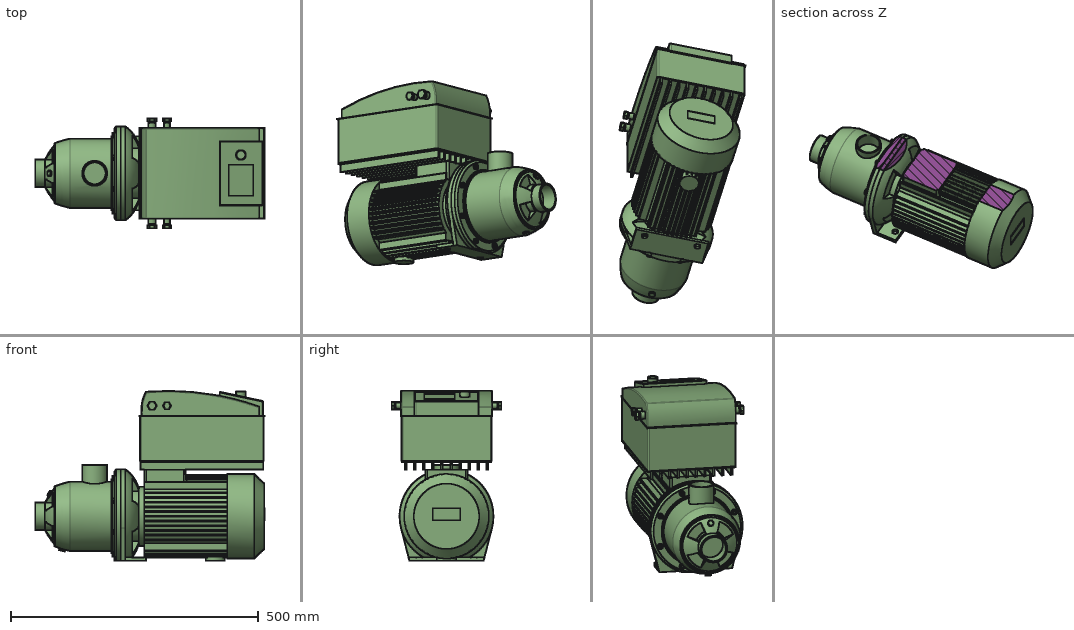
import cadquery as cq
import math


INLET_END_X = 20.0
DOME_RIM_X = 38.5
SHOULDER_X = 70.0
RIM_X = 154.0
RIM_THICKNESS = 2.0
FLANGE_X = 160.0
FOOT_X = 172.6
LANTERN_X = 182.0
SPIGOT_X = 209.7
FRAME_X = 220.0
COVER_X = 388.0
COVER_CHAMFER_X = 442.5
COVER_END_X = 463.0
MOTOR_END_X = 464.0

FLANGE_RADIUS = 95.0
BASE_Z = -90.0
FOOT_THICKNESS = 7.0
SPIGOT_RADIUS = 60.0
SECTOR_START = 22.5
SECTOR_ANGLE = 45.0
QUADRANT_ANGLES = [0, 90, 180, 270]

INLET_RADIUS = 28.0
INLET_BORE_RADIUS = 25.0
INLET_BORE_DEPTH = 30.0
DOME_RIM_RADIUS = 56.0
DOME_BULGE = (30.5, 45.5)
LIP_RADIUS = 61.2
LIP_CHAMFER = 1.8
SHOULDER_BULGE = (55.0, 66.3)
BARREL_RADIUS = 70.2
RIM_RADIUS = 74.5
NECK_RADIUS = 72.0
FLANGE_CHAMFER_X = 4.0
FLANGE_CHAMFER_R = 5.0
POCKET_FLOOR_X = 35.3
POCKET_INNER_RADIUS = 30.0
POCKET_OUTER_RADIUS = 51.0
OUTLET_X = 120.3
OUTLET_RADIUS = 25.3
OUTLET_BORE_RADIUS = 22.0
OUTLET_TOP_Z = 104.0
OUTLET_FLOOR_Z = 55.0
BOLT_COUNT = 8
BOLT_CIRCLE_RADIUS = 82.7
BOLT_RADIUS = 5.0
BOLT_HEIGHT = 4.5
BOLT_SOCKET_SIZE = 6.0
BOLT_SOCKET_DEPTH = 2.5
PLUG_SIZE = 12.4
PLUG_HEIGHT = 3.5
PLUG_ROOT = 5.0
VENT_NORMAL = (-0.83, 0.0, 0.55)
DRAIN_NORMAL = (-0.26, 0.0, -0.97)

FOOT_HALF_WIDTH = 75.0
FOOT_END_X = 224.0
FOOT_HOLE_X = 212.0
FOOT_HOLE_Y = 55.0
FOOT_HOLE_DIAMETER = 12.0

CONE_BULGE = (198.5, 79.0)
WINDOW_X = 196.0
DRUM_RADIUS = 55.0

COVER_RADIUS = 85.6
COVER_END_RADIUS = 66.0
FRAME_CORE_RADIUS = 73.0
FIN_TIP_RADIUS = 84.0
FIN_PITCH = 9.5
FIN_THICKNESS = 2.7
FINS_EACH_SIDE = 5
CORNER_OUTER = 69.0
CORNER_INNER = 54.5
CORNER_HALF_WIDTH = 50.0
TERMINAL_END_X = 304.0
TERMINAL_HALF_WIDTH = 43.0
TERMINAL_NOTCH_RADIUS = 4.3
TERMINAL_NOTCH_Z = 57.0
PAD_X = 363.7
PAD_RADIUS = 19.5
PLATE_HALF_WIDTH = 28.0
PLATE_BOTTOM_Z = -8.0
PLATE_TOP_Z = 16.0

DRIVE_HALF_WIDTH = 92.0
DRIVE_X = 211.4
DRIVE_END_X = 462.0
SHELL_INSET = 0.8
DRIVE_FILLET = 3.0
SINK_INSET = 1.2
SINK_FIN_BOTTOM_Z = 94.2
SINK_BASE_Z = 109.5
HOUSING_Z = 112.0
SEAM_Z = 203.0
SEAM_LIP_X = 1.5
SEAM_LIP_HEIGHT = 1.0
SINK_FIN_COUNT = 10
SINK_FIN_PITCH = 18.3
SINK_FIN_THICKNESS = 4.0

LID_X = 214.6
LID_FRONT_BULGE = (217.6, 237.0)
LID_CROWN_START_X = 223.7
LID_END_X = 453.0
CROWN_X = 268.0
CROWN_Z = 253.46
CROWN_RADIUS = 548.0
LID_FILLET = 2.0
PANEL_X = 372.3
PANEL_Z = 251.6
PANEL_END_X = 460.3
PANEL_END_Z = 232.7
PANEL_HALF_WIDTH = 65.0
PANEL_FILLET = 3.0
PANEL_CHAMFER = 1.5
DISPLAY_X = 391.0
DISPLAY_END_X = 440.0
DISPLAY_Y = -45.0
DISPLAY_END_Y = 17.0
DISPLAY_DEPTH = 1.0
KNOB_X = 415.5
KNOB_Y = 37.0
KNOB_RADIUS = 10.0
KNOB_TOP_Z = 252.2
KNOB_CHAMFER = 1.0

GLANDS = [(236.1, 19.0, 15.5), (266.3, 16.5, 12.5)]
GLAND_Z = 223.2
GLAND_BODY_LENGTH = 10.0
GLAND_NECK_LENGTH = 3.0
GLAND_HEAD_LENGTH = 6.0
GLAND_NECK_RATIO = 0.65


def x_cylinder(start, end, radius):
    """Cylinder on the shaft axis between two X levels."""
    return cq.Workplane("YZ", origin=(start, 0, 0)).circle(radius).extrude(end - start)


def block(x_range, y_range, z_range):
    """Axis-aligned block from its three ranges."""
    size = [high - low for low, high in (x_range, y_range, z_range)]
    corner = (x_range[0], y_range[0], z_range[0])
    return cq.Workplane("XY").box(*size, centered=False).translate(corner)


def revolve_about_shaft(profile):
    """Revolve a closed (X, radius) profile about the X axis."""
    return profile.close().revolve(360, (0, 0, 0), (1, 0, 0))


def ring_sectors(start, end, inner_radius, outer_radius):
    """Four 45 degree ring sectors placed on the diagonals around the shaft."""
    profile = cq.Workplane("XY").moveTo(start, inner_radius).lineTo(end, inner_radius)
    profile = profile.lineTo(end, outer_radius).lineTo(start, outer_radius).close()
    sector = profile.revolve(SECTOR_ANGLE, (0, 0, 0), (1, 0, 0))
    sectors = cq.Workplane("XY")
    for angle in QUADRANT_ANGLES:
        sectors = sectors.add(sector.rotate((0, 0, 0), (1, 0, 0), SECTOR_START + angle))
    return sectors.combine()


def plug_at(point, normal):
    """Plane standing on the casing wall and sunk to the root of a plug."""
    origin = [place - PLUG_ROOT * part for place, part in zip(point, normal)]
    return cq.Workplane(cq.Plane(origin=tuple(origin), xDir=(0, 1, 0), normal=normal))


def make_casing():
    profile = (
        cq.Workplane("XY")
        .moveTo(0, 0)
        .lineTo(0, INLET_RADIUS)
        .lineTo(INLET_END_X, INLET_RADIUS)
        .threePointArc(DOME_BULGE, (DOME_RIM_X, DOME_RIM_RADIUS))
        .lineTo(DOME_RIM_X, LIP_RADIUS - LIP_CHAMFER)
        .lineTo(DOME_RIM_X + LIP_CHAMFER, LIP_RADIUS)
        .threePointArc(SHOULDER_BULGE, (SHOULDER_X, BARREL_RADIUS))
        .lineTo(RIM_X, BARREL_RADIUS)
        .lineTo(RIM_X, RIM_RADIUS)
        .lineTo(RIM_X + RIM_THICKNESS, RIM_RADIUS)
        .lineTo(RIM_X + RIM_THICKNESS, NECK_RADIUS)
        .lineTo(FLANGE_X, NECK_RADIUS)
        .lineTo(FLANGE_X, FLANGE_RADIUS - FLANGE_CHAMFER_R)
        .lineTo(FLANGE_X + FLANGE_CHAMFER_X, FLANGE_RADIUS)
        .lineTo(FOOT_X, FLANGE_RADIUS)
        .lineTo(FOOT_X, 0)
    )
    casing = revolve_about_shaft(profile)

    ground = (-2 * FLANGE_RADIUS, BASE_Z)
    casing = casing.cut(block((0, FOOT_X), (-FLANGE_RADIUS, FLANGE_RADIUS), ground))

    casing = casing.cut(
        ring_sectors(INLET_END_X, POCKET_FLOOR_X, POCKET_INNER_RADIUS, POCKET_OUTER_RADIUS)
    )

    outlet = cq.Workplane("XY", origin=(OUTLET_X, 0, 0)).circle(OUTLET_RADIUS).extrude(OUTLET_TOP_Z)
    outlet_bore = (
        cq.Workplane("XY", origin=(OUTLET_X, 0, OUTLET_FLOOR_Z))
        .circle(OUTLET_BORE_RADIUS)
        .extrude(OUTLET_TOP_Z - OUTLET_FLOOR_Z)
    )
    casing = casing.union(outlet).cut(outlet_bore)
    casing = casing.cut(x_cylinder(0, INLET_BORE_DEPTH, INLET_BORE_RADIUS))

    plug_length = PLUG_ROOT + PLUG_HEIGHT
    vent_point = (DOME_BULGE[0], 0, DOME_BULGE[1])
    vent = plug_at(vent_point, VENT_NORMAL).polygon(6, PLUG_SIZE).extrude(plug_length)
    drain_point = (SHOULDER_BULGE[0], 0, -SHOULDER_BULGE[1])
    drain = plug_at(drain_point, DRAIN_NORMAL).circle(PLUG_SIZE / 2).extrude(plug_length)
    casing = casing.union(vent).union(drain)

    bolts = (
        cq.Workplane("YZ", origin=(FLANGE_X - BOLT_HEIGHT, 0, 0))
        .polarArray(BOLT_CIRCLE_RADIUS, SECTOR_START, 360, BOLT_COUNT)
        .circle(BOLT_RADIUS)
        .extrude(BOLT_HEIGHT)
    )
    sockets = (
        cq.Workplane("YZ", origin=(FLANGE_X - BOLT_HEIGHT, 0, 0))
        .polarArray(BOLT_CIRCLE_RADIUS, SECTOR_START, 360, BOLT_COUNT)
        .polygon(6, BOLT_SOCKET_SIZE)
        .extrude(BOLT_SOCKET_DEPTH)
    )
    return casing.union(bolts).cut(sockets)


def make_foot():
    corner_distance = math.hypot(FOOT_HALF_WIDTH, BASE_Z)
    corner_angle = math.atan2(BASE_Z, FOOT_HALF_WIDTH)
    tangent_angle = corner_angle + math.acos(FLANGE_RADIUS / corner_distance)
    tangent_y = FLANGE_RADIUS * math.cos(tangent_angle)
    tangent_z = FLANGE_RADIUS * math.sin(tangent_angle)
    plate = (
        cq.Workplane("YZ", origin=(FOOT_X, 0, 0))
        .moveTo(-FOOT_HALF_WIDTH, BASE_Z)
        .lineTo(FOOT_HALF_WIDTH, BASE_Z)
        .lineTo(tangent_y, tangent_z)
        .threePointArc((0, FLANGE_RADIUS), (-tangent_y, tangent_z))
        .close()
        .extrude(LANTERN_X - FOOT_X)
    )
    sole = block(
        (FOOT_X, FOOT_END_X),
        (-FOOT_HALF_WIDTH, FOOT_HALF_WIDTH),
        (BASE_Z, BASE_Z + FOOT_THICKNESS),
    )
    holes = (
        cq.Workplane("XY", origin=(0, 0, BASE_Z))
        .pushPoints([(FOOT_HOLE_X, -FOOT_HOLE_Y), (FOOT_HOLE_X, FOOT_HOLE_Y)])
        .circle(FOOT_HOLE_DIAMETER / 2)
        .extrude(FOOT_THICKNESS)
    )
    return plate.union(sole).cut(holes)


def make_lantern():
    profile = (
        cq.Workplane("XY")
        .moveTo(LANTERN_X, 0)
        .lineTo(LANTERN_X, FLANGE_RADIUS)
        .threePointArc(CONE_BULGE, (SPIGOT_X, DRUM_RADIUS))
        .lineTo(SPIGOT_X, 0)
    )
    lantern = revolve_about_shaft(profile)
    lantern = lantern.cut(ring_sectors(WINDOW_X, SPIGOT_X, DRUM_RADIUS, FLANGE_RADIUS))

    sole_z = BASE_Z + FOOT_THICKNESS
    sole_space = block(
        (LANTERN_X, SPIGOT_X), (-FLANGE_RADIUS, FLANGE_RADIUS), (-2 * FLANGE_RADIUS, sole_z)
    )
    return lantern.cut(sole_space)


def make_motor_fins():
    """Upright and level fin plates, trimmed to a round envelope."""
    frame_range = (FRAME_X, COVER_X)
    tip_range = (-FIN_TIP_RADIUS, FIN_TIP_RADIUS)
    fins = x_cylinder(FRAME_X, COVER_X, FRAME_CORE_RADIUS)
    for index in range(-FINS_EACH_SIDE, FINS_EACH_SIDE + 1):
        centre = index * FIN_PITCH
        fin_range = (centre - FIN_THICKNESS / 2, centre + FIN_THICKNESS / 2)
        fins = fins.union(block(frame_range, tip_range, fin_range))
        fins = fins.union(block(frame_range, fin_range, tip_range))
    return fins.intersect(x_cylinder(FRAME_X, COVER_X, FIN_TIP_RADIUS))


def make_motor():
    motor = x_cylinder(SPIGOT_X, FRAME_X, SPIGOT_RADIUS).union(make_motor_fins())

    rail_width = (-CORNER_HALF_WIDTH, CORNER_HALF_WIDTH)
    for rail_height in ((CORNER_INNER, CORNER_OUTER), (-CORNER_OUTER, -CORNER_INNER)):
        motor = motor.union(block((FRAME_X, COVER_X), rail_width, rail_height))

    cover = (
        cq.Workplane("XY")
        .moveTo(COVER_X, 0)
        .lineTo(COVER_X, COVER_RADIUS)
        .lineTo(COVER_CHAMFER_X, COVER_RADIUS)
        .lineTo(COVER_END_X, COVER_END_RADIUS)
        .lineTo(COVER_END_X, 0)
    )
    motor = motor.union(revolve_about_shaft(cover))
    end_plate = block(
        (COVER_END_X, MOTOR_END_X),
        (-PLATE_HALF_WIDTH, PLATE_HALF_WIDTH),
        (PLATE_BOTTOM_Z, PLATE_TOP_Z),
    )
    motor = motor.union(end_plate)

    terminal_box = block(
        (FRAME_X, TERMINAL_END_X),
        (-TERMINAL_HALF_WIDTH, TERMINAL_HALF_WIDTH),
        (CORNER_INNER, SINK_FIN_BOTTOM_Z),
    )
    motor = motor.union(terminal_box)

    notch_points = [
        (x, y) for x in (FRAME_X, TERMINAL_END_X) for y in (-TERMINAL_HALF_WIDTH, TERMINAL_HALF_WIDTH)
    ]
    notches = (
        cq.Workplane("XY", origin=(0, 0, TERMINAL_NOTCH_Z))
        .pushPoints(notch_points)
        .circle(TERMINAL_NOTCH_RADIUS)
        .extrude(SINK_FIN_BOTTOM_Z - TERMINAL_NOTCH_Z)
    )
    motor = motor.cut(notches)

    pad_height = -FRAME_CORE_RADIUS / 2 - BASE_Z
    pad = cq.Workplane("XY", origin=(PAD_X, 0, BASE_Z)).circle(PAD_RADIUS).extrude(pad_height)
    motor = motor.union(pad)

    sole_space = block(
        (FRAME_X, FOOT_END_X),
        (-FOOT_HALF_WIDTH, FOOT_HALF_WIDTH),
        (BASE_Z, BASE_Z + FOOT_THICKNESS),
    )
    return motor.cut(sole_space)


def make_drive_housing():
    width = (-DRIVE_HALF_WIDTH, DRIVE_HALF_WIDTH)
    shell_half_width = DRIVE_HALF_WIDTH - SHELL_INSET
    shell_width = (-shell_half_width, shell_half_width)
    housing = block((DRIVE_X, DRIVE_END_X), shell_width, (HOUSING_Z, SEAM_Z))
    housing = housing.edges("|Z").fillet(DRIVE_FILLET)

    lip_x = (DRIVE_X - SEAM_LIP_X, DRIVE_END_X + SEAM_LIP_X)
    housing = housing.union(block(lip_x, width, (SEAM_Z - SEAM_LIP_HEIGHT, SEAM_Z)))

    sink_x = (DRIVE_X + SINK_INSET, DRIVE_END_X - SINK_INSET)
    sink_half_width = DRIVE_HALF_WIDTH - SINK_INSET
    sink_width = (-sink_half_width, sink_half_width)
    housing = housing.union(block(sink_x, sink_width, (SINK_BASE_Z, HOUSING_Z)))
    for index in range(SINK_FIN_COUNT):
        centre = (index - (SINK_FIN_COUNT - 1) / 2) * SINK_FIN_PITCH
        fin_width = (centre - SINK_FIN_THICKNESS / 2, centre + SINK_FIN_THICKNESS / 2)
        housing = housing.union(block(sink_x, fin_width, (SINK_FIN_BOTTOM_Z, SINK_BASE_Z)))
    return housing


def crown_z(x):
    """Height of the lid's arched top at a given X."""
    return CROWN_Z - CROWN_RADIUS + math.sqrt(CROWN_RADIUS**2 - (x - CROWN_X) ** 2)


def make_lid():
    lid = (
        cq.Workplane("XZ", origin=(0, DRIVE_HALF_WIDTH, 0))
        .moveTo(LID_X, SEAM_Z)
        .threePointArc(LID_FRONT_BULGE, (LID_CROWN_START_X, crown_z(LID_CROWN_START_X)))
        .threePointArc((CROWN_X, CROWN_Z), (LID_END_X, crown_z(LID_END_X)))
        .lineTo(LID_END_X, SEAM_Z)
        .close()
        .extrude(2 * DRIVE_HALF_WIDTH)
    )
    lid = lid.edges("not(<Z)").fillet(LID_FILLET)

    panel = (
        cq.Workplane("XZ", origin=(0, PANEL_HALF_WIDTH, 0))
        .moveTo(PANEL_X, SEAM_Z)
        .lineTo(PANEL_X, PANEL_Z)
        .lineTo(PANEL_END_X, PANEL_END_Z)
        .lineTo(PANEL_END_X, SEAM_Z)
        .close()
        .extrude(2 * PANEL_HALF_WIDTH)
    )
    panel = panel.edges("|Z and >X").fillet(PANEL_FILLET)
    panel = panel.faces(">Z").edges().chamfer(PANEL_CHAMFER)
    lid = lid.union(panel)

    slope = (PANEL_END_Z - PANEL_Z) / (PANEL_END_X - PANEL_X)
    floor_z = PANEL_Z + slope * (DISPLAY_X - PANEL_X) - DISPLAY_DEPTH
    floor_end_z = PANEL_Z + slope * (DISPLAY_END_X - PANEL_X) - DISPLAY_DEPTH
    display = (
        cq.Workplane("XZ", origin=(0, DISPLAY_END_Y, 0))
        .moveTo(DISPLAY_X, floor_z)
        .lineTo(DISPLAY_END_X, floor_end_z)
        .lineTo(DISPLAY_END_X, PANEL_Z)
        .lineTo(DISPLAY_X, PANEL_Z)
        .close()
        .extrude(DISPLAY_END_Y - DISPLAY_Y)
    )
    lid = lid.cut(display)

    knob = (
        cq.Workplane("XY", origin=(KNOB_X, KNOB_Y, SEAM_Z))
        .circle(KNOB_RADIUS)
        .extrude(KNOB_TOP_Z - SEAM_Z)
        .faces(">Z")
        .chamfer(KNOB_CHAMFER)
    )
    return lid.union(knob)


def make_gland(x, head_size, body_diameter, side):
    """Cable gland on one lid wall; side is +1 for the +Y wall and -1 for the -Y wall."""
    wall = cq.Plane(
        origin=(x, side * DRIVE_HALF_WIDTH, GLAND_Z), xDir=(1, 0, 0), normal=(0, side, 0)
    )
    body = cq.Workplane(wall).circle(body_diameter / 2).extrude(GLAND_BODY_LENGTH)
    neck = (
        cq.Workplane(wall)
        .workplane(offset=GLAND_BODY_LENGTH)
        .circle(GLAND_NECK_RATIO * body_diameter / 2)
        .extrude(GLAND_NECK_LENGTH)
    )
    head = (
        cq.Workplane(wall)
        .workplane(offset=GLAND_BODY_LENGTH + GLAND_NECK_LENGTH)
        .polygon(6, head_size)
        .extrude(GLAND_HEAD_LENGTH)
    )
    return body.union(neck).union(head)


casing = make_casing()
foot = make_foot()
lantern = make_lantern()
motor = make_motor()
drive_housing = make_drive_housing()
lid = make_lid()

glands = []
for gland_x, head_size, body_diameter in GLANDS:
    for side in (-1, 1):
        glands.append(make_gland(gland_x, head_size, body_diameter, side).val())

result = cq.Compound.makeCompound(
    [
        casing.val(),
        foot.val(),
        lantern.val(),
        motor.val(),
        drive_housing.val(),
        lid.val(),
        *glands,
    ]
)